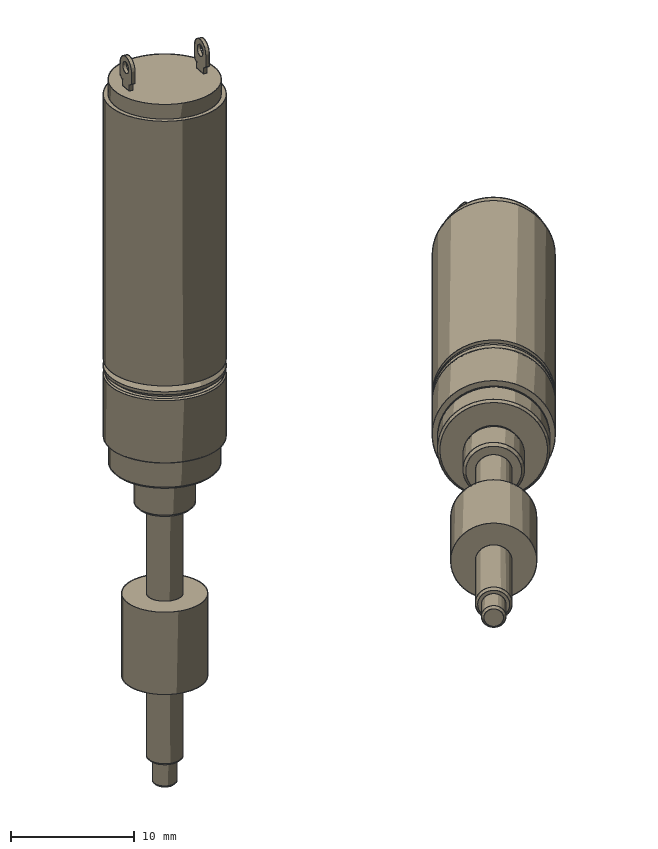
import cadquery as cq

total_height = 66.45
shaft_shoulder_z = 2.25
nut_bottom_z = 9.7
nut_height = 7.45
nut_top_z = nut_bottom_z + nut_height
boss_bottom_z = 25.2
boss_top_z = 28.4
collar_bottom_z = 28.8
collar_top_z = 31.15
gearbox_bottom_z = 31.35
gearbox_top_z = 37.15
motor_bottom_z = 38.35
motor_top_z = 62.25
cap_top_z = 63.6

body_diameter = 10.0
cap_diameter = 9.2
ring_end_diameter = 9.0
collar_diameter = 9.1
undercut_diameter = 9.0
nut_diameter = 7.0
boss_diameter = 5.0
neck_diameter = 4.5
shaft_diameter = 3.0
tip_diameter = 2.0

gearbox_chamfer = 0.1
collar_chamfer = 0.2
boss_chamfer = (boss_diameter - neck_diameter) / 2
shaft_chamfer = 0.2
tip_chamfer = 0.2

ring_rim_bottom_z = 37.55
ring_rim_top_z = 37.8

terminal_width = 2.0
terminal_neck_width = 1.2
terminal_hole_diameter = 1.0
terminal_thickness = 0.3
terminal_offset = 3.4
terminal_neck_top_z = 64.1
terminal_taper_top_z = 64.4


def cylinder(diameter, bottom_z, top_z):
    """Cylinder on the Z axis between two heights."""
    return cq.Workplane("XY").workplane(offset=bottom_z).circle(diameter / 2).extrude(top_z - bottom_z)


def make_output_shaft():
    """Stepped shaft with its nut, running up into the boss."""
    tip = cylinder(tip_diameter, 0, shaft_shoulder_z).faces("<Z").chamfer(tip_chamfer)
    rod = cylinder(shaft_diameter, shaft_shoulder_z, boss_bottom_z).faces("<Z").chamfer(shaft_chamfer)
    nut = cylinder(nut_diameter, nut_bottom_z, nut_top_z)
    return tip.union(rod).union(nut)


def make_front_end():
    """Bearing boss, its neck, and the collar with an undercut below the gearbox."""
    boss = cylinder(boss_diameter, boss_bottom_z, boss_top_z).edges().chamfer(boss_chamfer)
    neck = cylinder(neck_diameter, boss_top_z, collar_bottom_z)
    collar = cylinder(collar_diameter, collar_bottom_z, collar_top_z).faces("<Z").chamfer(collar_chamfer)
    undercut = cylinder(undercut_diameter, collar_top_z, gearbox_bottom_z)
    return boss.union(neck).union(collar).union(undercut)


def make_ring():
    """Ring with a narrow full-diameter rim, tapering to smaller ends."""
    end_radius = ring_end_diameter / 2
    rim_radius = body_diameter / 2
    return (
        cq.Workplane("XZ")
        .moveTo(0, gearbox_top_z)
        .lineTo(end_radius, gearbox_top_z)
        .lineTo(rim_radius, ring_rim_bottom_z)
        .lineTo(rim_radius, ring_rim_top_z)
        .lineTo(end_radius, motor_bottom_z)
        .lineTo(0, motor_bottom_z)
        .close()
        .revolve(360, (0, 0, 0), (0, 1, 0))
    )


def make_body():
    """Gearbox, ring, motor can and end cap."""
    gearbox = cylinder(body_diameter, gearbox_bottom_z, gearbox_top_z).faces(">Z").chamfer(gearbox_chamfer)
    motor = cylinder(body_diameter, motor_bottom_z, motor_top_z)
    cap = cylinder(cap_diameter, motor_top_z, cap_top_z)
    return gearbox.union(make_ring()).union(motor).union(cap)


def make_terminal(center_y):
    """Round-headed eyelet with a tapered, narrow foot, flat in the XZ plane."""
    half_width = terminal_width / 2
    half_neck = terminal_neck_width / 2
    eye_z = total_height - half_width
    plate = (
        cq.Workplane("XZ", origin=(0, center_y, 0))
        .moveTo(-half_neck, cap_top_z)
        .lineTo(half_neck, cap_top_z)
        .lineTo(half_neck, terminal_neck_top_z)
        .lineTo(half_width, terminal_taper_top_z)
        .lineTo(half_width, eye_z)
        .threePointArc((0, total_height), (-half_width, eye_z))
        .lineTo(-half_width, terminal_taper_top_z)
        .lineTo(-half_neck, terminal_neck_top_z)
        .close()
        .extrude(terminal_thickness / 2, both=True)
    )
    hole = (
        cq.Workplane("XZ", origin=(0, center_y, 0))
        .center(0, eye_z)
        .circle(terminal_hole_diameter / 2)
        .extrude(terminal_thickness, both=True)
    )
    return plate.cut(hole)


result = make_output_shaft().union(make_front_end()).union(make_body())
for side in (-1, 1):
    result = result.union(make_terminal(side * terminal_offset))